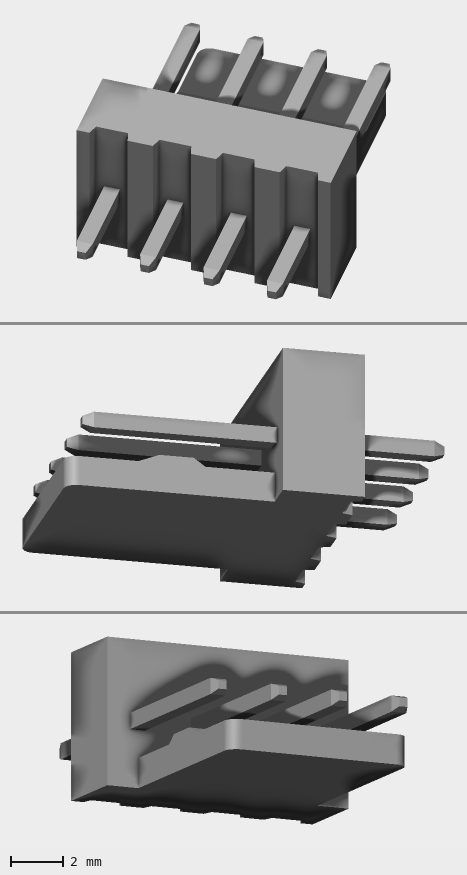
import cadquery as cq

BODY_WIDTH = 10.2
BODY_DEPTH = 3.23
BODY_HEIGHT = 5.8

PIN_COUNT = 4
PIN_PITCH = 2.55
PIN_SIZE = 0.64
PIN_TIP_SIZE = 0.34
PIN_TIP_LENGTH = 0.41
PIN_LENGTH = 14.22
PIN_FRONT_REACH = 3.39
PIN_HEIGHT = 2.59

GROOVE_MOUTH_WIDTH = 1.54
GROOVE_FLOOR_WIDTH = 1.27
GROOVE_DEPTH = 0.43

OVERALL_LENGTH = 14.8
TONGUE_WIDTH = 7.56
TONGUE_THICKNESS = 1.18
TONGUE_CORNER_RADIUS = 0.5
RIDGE_TOP = 1.51
RIDGE_BACK_FOOT = 2.83
RIDGE_BACK_CREST = 3.65
RIDGE_FRONT_CREST = 5.0
RIDGE_FRONT_FOOT = 5.46

tongue_end = OVERALL_LENGTH - PIN_FRONT_REACH
first_pin_x = -PIN_PITCH * (PIN_COUNT - 1) / 2
pin_positions = [first_pin_x + i * PIN_PITCH for i in range(PIN_COUNT)]


def make_body():
    return cq.Workplane("XY").box(BODY_WIDTH, BODY_DEPTH, BODY_HEIGHT, centered=(True, False, False))


def make_groove(x):
    """Full-height trapezoidal groove that narrows toward its floor."""
    return (
        cq.Workplane("XY")
        .polyline([
            (x - GROOVE_MOUTH_WIDTH / 2, 0),
            (x + GROOVE_MOUTH_WIDTH / 2, 0),
            (x + GROOVE_FLOOR_WIDTH / 2, GROOVE_DEPTH),
            (x - GROOVE_FLOOR_WIDTH / 2, GROOVE_DEPTH),
        ])
        .close()
        .extrude(BODY_HEIGHT)
    )


def make_tongue():
    """Side profile extruded across X, with the free corners rounded."""
    return (
        cq.Workplane("YZ")
        .polyline([
            (BODY_DEPTH, 0),
            (tongue_end, 0),
            (tongue_end, TONGUE_THICKNESS),
            (tongue_end - RIDGE_BACK_FOOT, TONGUE_THICKNESS),
            (tongue_end - RIDGE_BACK_CREST, RIDGE_TOP),
            (tongue_end - RIDGE_FRONT_CREST, RIDGE_TOP),
            (tongue_end - RIDGE_FRONT_FOOT, TONGUE_THICKNESS),
            (BODY_DEPTH, TONGUE_THICKNESS),
        ])
        .close()
        .extrude(TONGUE_WIDTH / 2, both=True)
        .faces(">Y")
        .edges("|Z")
        .fillet(TONGUE_CORNER_RADIUS)
    )


def make_pin_tip(x, y, direction):
    """Tapered pin end that starts full size at y and points along direction (+1 or -1 in Y)."""
    base = cq.Plane(origin=(x, y, PIN_HEIGHT), xDir=(1, 0, 0), normal=(0, direction, 0))
    return (
        cq.Workplane(base)
        .rect(PIN_SIZE, PIN_SIZE)
        .workplane(offset=PIN_TIP_LENGTH)
        .rect(PIN_TIP_SIZE, PIN_TIP_SIZE)
        .loft()
    )


def make_pin(x):
    shank_start = PIN_TIP_LENGTH - PIN_FRONT_REACH
    shank_length = PIN_LENGTH - 2 * PIN_TIP_LENGTH
    shank = (
        cq.Workplane("XY")
        .box(PIN_SIZE, shank_length, PIN_SIZE, centered=(True, False, True))
        .translate((x, shank_start, PIN_HEIGHT))
    )
    front_tip = make_pin_tip(x, shank_start, -1)
    back_tip = make_pin_tip(x, shank_start + shank_length, 1)
    return shank.union(front_tip).union(back_tip)


result = make_body()
for pin_x in pin_positions:
    result = result.cut(make_groove(pin_x))
result = result.union(make_tongue())
for pin_x in pin_positions:
    result = result.union(make_pin(pin_x))